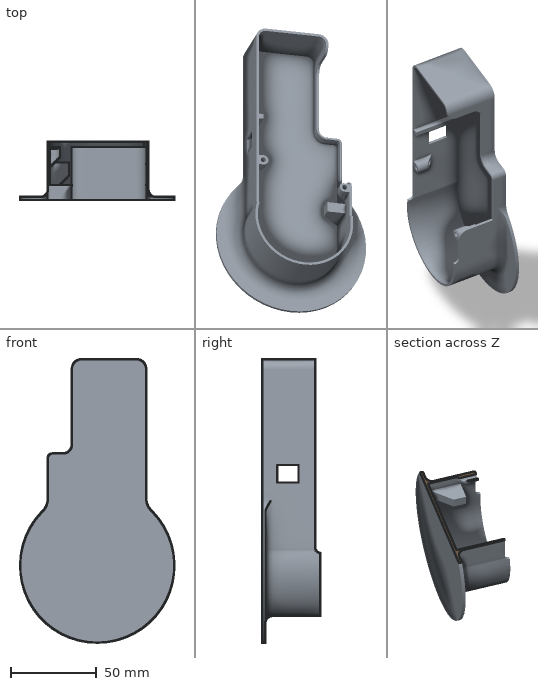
import cadquery as cq
import math

flange_thickness = 2.0
arm_depth = 31.0
body_depth = 34.0
wall = 1.5

flange_radius = 44.9
flange_x = flange_radius
flange_z = flange_radius
neck_radius = 10.0

bowl_radius = 29.4
bowl_x = 45.4
bowl_z = flange_z
left_seam_height = 1.3
left_x = bowl_x - math.sqrt(bowl_radius**2 - left_seam_height**2)
right_x = 73.5
arm_left_x = 30.0
shoulder_z = 110.3
top_z = 165.1
top_radius = 6.0
shoulder_outer_radius = 3.0
shoulder_inner_radius = 5.0
root_radius = 4.0

window_front_y = 8.9
window_bottom_z = 74.5
window_top_z = 154.2
window_radius = 6.0
window_inner_x = arm_left_x + 2 * wall
rim_radius = 1.0

rim_left_z = 49.9
rim_right_z = 52.3
rim_step_radius = body_depth - arm_depth

post_diameter = 6.0
post_hole_diameter = 3.0
post_axis_offset = 2.8
post_wall_y = 19.3
left_post_z = 69.2
right_post_z = 81.0

bracket_reach = 10.9
bracket_rear_y = 21.8
bracket_slope_y = 14.2
bracket_top_z = 62.7
bracket_height = 6.0

rib_thickness = 3.0
rib_reach = 3.0
opening_bottom_z = 93.3
opening_height = 10.0
opening_rear_y = 21.1

round_midpoint = 1 - math.sqrt(0.5)

overlap = 0.5


def extrude_y(sketch, start_y, end_y):
    """Extrude a closed XZ outline from start_y to end_y."""
    return sketch.extrude(start_y - end_y).translate((0, start_y, 0))


def body_outline(inset):
    """Outline of the body in XZ, moved inward by inset."""
    left = left_x + inset
    right = right_x - inset
    arm_left = arm_left_x + inset
    top = top_z - inset
    shoulder = shoulder_z - inset
    radius = bowl_radius - inset
    top_r = top_radius - inset
    outer_r = shoulder_outer_radius - inset
    inner_r = shoulder_inner_radius + inset
    left_end_z = bowl_z + math.sqrt(radius**2 - (bowl_x - left) ** 2)
    right_end_z = bowl_z + math.sqrt(radius**2 - (right - bowl_x) ** 2)
    return (
        cq.Workplane("XZ")
        .moveTo(left, left_end_z)
        .lineTo(left, shoulder - outer_r)
        .tangentArcPoint((left + outer_r, shoulder), relative=False)
        .lineTo(arm_left - inner_r, shoulder)
        .tangentArcPoint((arm_left, shoulder + inner_r), relative=False)
        .lineTo(arm_left, top - top_r)
        .tangentArcPoint((arm_left + top_r, top), relative=False)
        .lineTo(right - top_r, top)
        .tangentArcPoint((right, top - top_r), relative=False)
        .lineTo(right, right_end_z)
        .threePointArc((bowl_x, bowl_z - radius), (left, left_end_z))
        .close()
    )


def neck_web(wall_x, side, depth):
    """Piece that joins one straight side to the flange disc with a concave arc."""
    center_x = wall_x + side * neck_radius
    reach = flange_radius + neck_radius
    center_z = flange_z + math.sqrt(reach**2 - (center_x - flange_x) ** 2)
    direction_x = (flange_x - center_x) / reach
    direction_z = (flange_z - center_z) / reach
    touch = (center_x + neck_radius * direction_x, center_z + neck_radius * direction_z)
    middle_length = math.hypot(direction_x - side, direction_z)
    middle = (
        center_x + neck_radius * (direction_x - side) / middle_length,
        center_z + neck_radius * direction_z / middle_length,
    )
    outline = (
        cq.Workplane("XZ")
        .moveTo(wall_x, center_z)
        .threePointArc(middle, touch)
        .lineTo(flange_x, flange_z)
        .lineTo(flange_x, center_z)
        .close()
    )
    return extrude_y(outline, 0, depth)


def flange_solid(depth):
    disc = extrude_y(cq.Workplane("XZ").center(flange_x, flange_z).circle(flange_radius), 0, depth)
    return disc.union(neck_web(left_x, -1, depth)).union(neck_web(right_x, 1, depth))


def root_section(edge_x, side, origin):
    """Concave fillet section between the flange and a wall at edge_x."""
    root_y = flange_thickness + root_radius
    bulge = root_radius * round_midpoint
    return (
        cq.Workplane("XY", origin=origin)
        .moveTo(edge_x - side * overlap, 0)
        .lineTo(edge_x + side * root_radius, 0)
        .lineTo(edge_x + side * root_radius, flange_thickness)
        .threePointArc((edge_x + side * bulge, flange_thickness + bulge), (edge_x, root_y))
        .lineTo(edge_x - side * overlap, root_y)
        .close()
    )


def root_fillet():
    """Concave fillet between body and flange, kept inside the flange outline."""
    side_height = neck_radius + flange_radius
    ring = root_section(bowl_radius, 1, (bowl_x, 0, bowl_z)).revolve(360, (0, 0), (0, 1))
    left = root_section(left_x, -1, (0, 0, bowl_z)).extrude(side_height)
    right = root_section(right_x, 1, (0, 0, bowl_z)).extrude(side_height)
    fillet = ring.union(left).union(right)
    return fillet.intersect(flange_solid(flange_thickness + root_radius))


def rim_step(start_x, end_x, end_z):
    """Space behind the arm, ending in a concave round on the bowl's rear rim."""
    bulge = rim_step_radius * round_midpoint
    return (
        cq.Workplane("YZ", origin=(start_x, 0, 0))
        .moveTo(body_depth, end_z)
        .threePointArc((arm_depth + bulge, end_z + bulge), (arm_depth, end_z + rim_step_radius))
        .lineTo(arm_depth, top_z)
        .lineTo(body_depth, top_z)
        .close()
        .extrude(end_x - start_x)
    )


def shoulder_window():
    """Lower part of the window, up to the end of the shoulder's inner round."""
    height = shoulder_z + shoulder_inner_radius - window_bottom_z
    depth = arm_depth - window_front_y
    opening = cq.Workplane("XY").box(window_inner_x, depth, height, centered=False)
    return opening.translate((0, window_front_y, window_bottom_z))


def full_window():
    """Whole window, flared by rounds at its two rear corners."""
    r = window_radius
    bulge = r * round_midpoint
    return (
        cq.Workplane("YZ")
        .moveTo(window_front_y, window_bottom_z)
        .lineTo(arm_depth - r, window_bottom_z)
        .tangentArcPoint((arm_depth, window_bottom_z - r), relative=False)
        .lineTo(arm_depth, window_top_z + r)
        .threePointArc((arm_depth - bulge, window_top_z + bulge), (arm_depth - r, window_top_z))
        .lineTo(window_front_y + r, window_top_z)
        .tangentArcPoint((window_front_y, window_top_z - r), relative=False)
        .close()
        .extrude(window_inner_x)
    )


def screw_post(wall_x, inward, z):
    """Round-nosed screw post along Y with a 45 degree underside and a through hole."""
    radius = post_diameter / 2
    reach = post_axis_offset + radius
    axis_x = wall_x + inward * post_axis_offset
    back_x = wall_x - inward * overlap
    nose = cq.Workplane("XZ").center(axis_x, z).circle(radius)
    web = cq.Workplane("XZ").center((axis_x + back_x) / 2, z).rect(abs(axis_x - back_x), post_diameter)
    section = extrude_y(nose, 0, arm_depth).union(extrude_y(web, 0, arm_depth))
    side_shape = (
        cq.Workplane("XY", origin=(0, 0, z - radius))
        .moveTo(back_x, post_wall_y - overlap)
        .lineTo(wall_x + inward * reach, post_wall_y + reach)
        .lineTo(wall_x + inward * reach, arm_depth)
        .lineTo(back_x, arm_depth)
        .close()
        .extrude(post_diameter)
    )
    hole = cq.Workplane("XZ").center(axis_x, z).circle(post_hole_diameter / 2)
    return section.intersect(side_shape).cut(extrude_y(hole, 0, arm_depth))


def bracket():
    """Block on the left wall with a 45 degree underside."""
    wall_x = left_x + wall
    tip_x = wall_x + bracket_reach
    back_x = wall_x - overlap
    return (
        cq.Workplane("XY", origin=(0, 0, bracket_top_z - bracket_height))
        .moveTo(back_x, bracket_rear_y)
        .lineTo(tip_x, bracket_rear_y)
        .lineTo(tip_x, bracket_slope_y)
        .lineTo(back_x, bracket_slope_y - bracket_reach - overlap)
        .close()
        .extrude(bracket_height)
    )


def wall_rib():
    """Rib on the right wall, level with the shoulder's wall."""
    length = arm_depth - flange_thickness + overlap
    rib = cq.Workplane("XY").box(rib_reach + overlap, length, rib_thickness, centered=False)
    return rib.translate(
        (right_x - wall - rib_reach, flange_thickness - overlap, shoulder_z - rib_thickness)
    )


def square_opening():
    opening = cq.Workplane("XY").box(
        3 * wall, opening_rear_y - window_front_y, opening_height, centered=False
    )
    return opening.translate((right_x - 2 * wall, window_front_y, opening_bottom_z))


body = extrude_y(body_outline(0), 0, body_depth)
cavity = extrude_y(body_outline(wall), flange_thickness, body_depth)
shell = body.union(flange_solid(flange_thickness)).union(root_fillet()).cut(cavity)

shell = shell.cut(rim_step(0, bowl_x, rim_left_z))
shell = shell.cut(rim_step(bowl_x, 2 * flange_radius, rim_right_z))

shell = shell.cut(shoulder_window())
shoulder_edge = cq.selectors.NearestToPointSelector(
    (left_x, window_front_y, (window_bottom_z + shoulder_z) / 2)
)
shell = shell.edges(shoulder_edge).fillet(rim_radius)
shell = shell.union(screw_post(left_x + wall, 1, left_post_z))
shell = shell.cut(full_window())

shell = shell.union(screw_post(right_x - wall, -1, right_post_z))
shell = shell.union(bracket()).union(wall_rib())

result = shell.cut(square_opening())